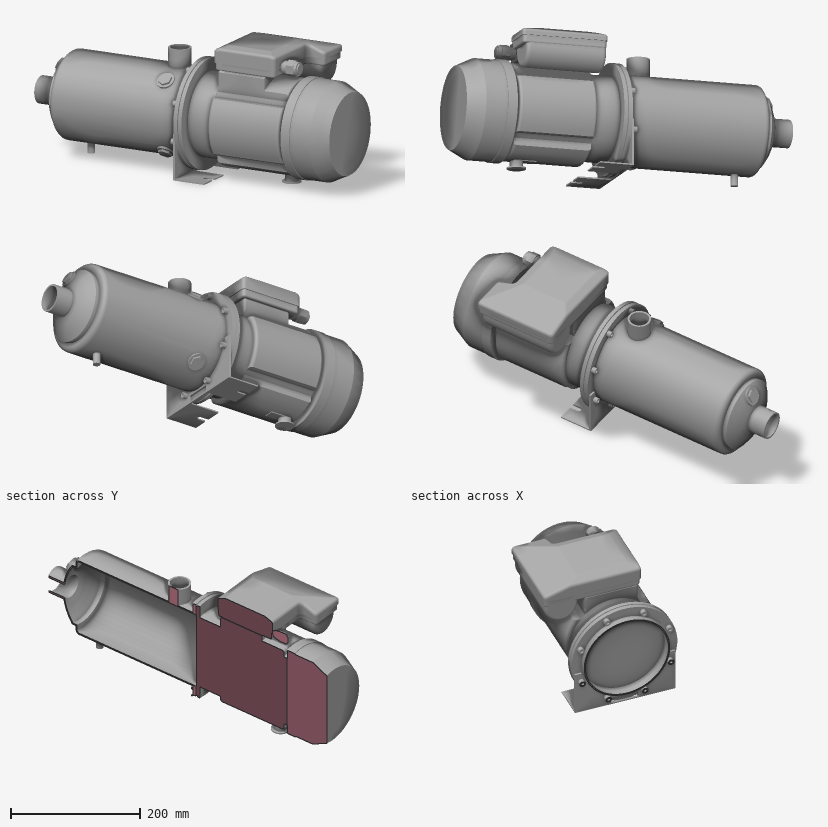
import cadquery as cq
import math

FLOOR_Z = -89.5

CASING_RADIUS = 71.5
WALL = 3.0
CASING_FACE_X = 53.5
CASING_EDGE_ROUND = 7.0
DOME_RIM_X = 46.5
DOME_RIM_RADIUS = 58.0
DOME_RADIUS = 96.0
DOME_CENTRE_X = DOME_RIM_X + math.sqrt(DOME_RADIUS**2 - DOME_RIM_RADIUS**2)
INLET_DIAMETER = 44.5

FLANGE_DIAMETER = 176.5
FLANGE_RADIUS = FLANGE_DIAMETER / 2
FLANGE_FACE_X = 283.5
JOINT_X = 290.0
FLANGE_END_X = 297.5
SPIGOT_RADIUS = 86.0
SPIGOT_LENGTH = 1.5

PORT_X = 245.5
OUTLET_DIAMETER = 36.0
OUTLET_BORE = 30.0
OUTLET_TOP_Z = 100.0
DRAIN_PIN_DIAMETER = 12.0
DRAIN_PIN_X = 88.5
PLUG_COLLAR_DIAMETER = 28.5
PLUG_COLLAR_HEIGHT = 2.0
PLUG_HEX_ACROSS_CORNERS = 22.5
PLUG_HEIGHT = 6.0
SIDE_PLUG_ANGLE = 51.5
DOME_PLUG_ANGLE = 27.0

BOLT_COUNT = 8
BOLT_CIRCLE_RADIUS = 80.0
BOLT_HEAD_DIAMETER = 10.0
BOLT_HEAD_LENGTH = 7.0
BOLT_SHANK_DIAMETER = 7.0
SOCKET_ACROSS_CORNERS = 5.5
SOCKET_DEPTH = 3.0

BRACKET_THICKNESS = 3.5
BRACKET_FACE_X = FLANGE_FACE_X - BRACKET_THICKNESS
BRACKET_HALF_WIDTH = 83.5
BRACKET_TOP_Z = -15.5
BRACKET_BORE_RADIUS = 74.5
FOOT_END_X = 335.5
FOOT_THICKNESS = 2.0
WINDOW_HALF_WIDTH = 22.5
WINDOW_TOP_Z = -77.0
SLOT_WIDTH = 9.0
SLOT_Y = 54.0
SLOT_LENGTH = 17.5

BELL_RADIUS = 68.0
BARREL_START_X = 337.0
BARREL_END_X = 463.5
BARREL_RADIUS = 76.5
BARREL_EDGE_ROUND = 5.0
RIB_HALF_WIDTH = 44.5
NOTCH_SLOPE = 6.5
END_RING_RADIUS = 65.5
FAN_COVER_X = 469.0
PEDESTAL_END_X = 420.0
PEDESTAL_CORNER_ROUND = 4.0
PEDESTAL_CHAMFER = 3.5
FOOT_PAD_START_X = 414.0
FOOT_PAD_END_X = 450.0
FOOT_PAD_WIDTH = 16.5
FOOT_PAD_Z = -77.5

FOOT_X = 444.0
STUD_DIAMETER = 21.0
FOOT_DISC_DIAMETER = 30.0
FOOT_DISC_THICKNESS = 2.0

COVER_RIM_END_X = 484.0
COVER_RIM_DIAMETER = 161.5
COVER_RIM_RADIUS = COVER_RIM_DIAMETER / 2
COVER_CONE_X = 520.0
COVER_RADIUS = 79.5
COVER_END_X = 547.0
COVER_END_DIAMETER = 132.0
COVER_END_RADIUS = COVER_END_DIAMETER / 2

BOX_START_X = 332.0
BOX_NOTCH_X = 440.5
BOX_END_X = 471.5
BOX_FRONT_Y = -48.5
BOX_NOTCH_Y = 54.0
OVERALL_WIDTH = 202.5
BOX_BACK_Y = OVERALL_WIDTH - FLANGE_RADIUS
BOX_BOTTOM_Z = 85.5
LID_BOTTOM_Z = 97.5
LID_FLAT_FRONT_Y = -31.0
LID_FLAT_BACK_Y = 54.0
LID_FLAT_START_X = 347.0
LID_FLAT_END_X = 424.5
LID_FRONT_Z = 120.5
LID_BACK_Z = 106.5
LID_START_Z = 117.5
LID_END_Z = 107.0
BOX_TOP_Z = 124.0
BOX_CORNER_ROUND = 5.5
LID_EDGE_ROUND = 5.0
LID_RIDGE_ROUND = 8.0
TRAY_INSET = 1.5
TRAY_EDGE_ROUND = 3.0
BULGE_RADIUS = 27.5
BULGE_Y = 84.0
BULGE_AXIS_Z = 80.0
BULGE_END_X = 464.0
BULGE_EDGE_ROUND = 6.0

GLAND_Y = -21.5
GLAND_Z = 98.5
GLAND_NECK_END_X = 444.0
GLAND_NECK_DIAMETER = 17.0
GLAND_COLLAR_END_X = 451.0
GLAND_COLLAR_DIAMETER = 21.0
GLAND_HEX_END_X = 464.0
GLAND_HEX_ACROSS_CORNERS = 26.0
GLAND_SHOULDER_END_X = 469.0
GLAND_SHOULDER_DIAMETER = 22.5
GLAND_TIP_END_X = 471.0
GLAND_TIP_DIAMETER = 17.0

UPWARD = 0.5


def x_cylinder(radius, x_start, x_end, y=0.0, z=0.0):
    """Cylinder along X between two positions."""
    return cq.Workplane("YZ", origin=(x_start, y, z)).circle(radius).extrude(x_end - x_start)


def x_hexagon(across_corners, x_start, x_end, y=0.0, z=0.0):
    """Hexagonal bar along X with two corners straight above and below its axis."""
    bar = cq.Workplane("YZ", origin=(x_start, y, z)).transformed(rotate=(0, 0, 90))
    return bar.polygon(6, across_corners).extrude(x_end - x_start)


def box_between(x_range, y_range, z_range):
    """Rectangular block given by its limits on each axis."""
    limits = (x_range, y_range, z_range)
    sizes = [high - low for low, high in limits]
    return cq.Workplane("XY").box(*sizes, centered=False).translate([low for low, high in limits])



def dome_x(radius, inset):
    """X position of the dome surface, moved inwards by inset, at a radius from the shaft axis."""
    return DOME_CENTRE_X - math.sqrt((DOME_RADIUS - inset) ** 2 - radius**2)


def casing_revolve(inset, start_x, end_x):
    """Body of revolution bounded by the casing surface moved inwards by inset."""
    inlet = INLET_DIAMETER / 2 - inset
    rim = DOME_RIM_RADIUS - inset
    middle = (inlet + rim) / 2
    outer = CASING_RADIUS - inset
    face_x = CASING_FACE_X + inset
    edge = CASING_EDGE_ROUND - inset
    bend = edge * (1 - math.sqrt(0.5))
    profile = (
        cq.Workplane("XY")
        .moveTo(start_x, 0)
        .lineTo(start_x, inlet)
        .lineTo(dome_x(inlet, inset), inlet)
        .threePointArc((dome_x(middle, inset), middle), (dome_x(rim, inset), rim))
        .lineTo(face_x, rim)
        .lineTo(face_x, outer - edge)
        .threePointArc((face_x + bend, outer - bend), (face_x + edge, outer))
        .lineTo(end_x, outer)
        .lineTo(end_x, 0)
        .close()
    )
    return profile.revolve(360, (0, 0, 0), (1, 0, 0))


def plug(centre, heading, elevation, base_radius, surface_radius):
    """Hexagon plug with a round collar, pointing away from a centre point.

    heading is the horizontal unit direction of the plug axis and elevation its angle in degrees
    above the horizontal. The plug runs outwards from base_radius and stands on surface_radius.
    """
    level = math.cos(math.radians(elevation))
    rise = math.sin(math.radians(elevation))
    outward = cq.Vector(heading[0] * level, heading[1] * level, rise)
    upward = cq.Vector(-heading[0] * rise, -heading[1] * rise, level)
    plane = cq.Plane(origin=cq.Vector(*centre) + outward * base_radius, xDir=upward, normal=outward)
    buried = surface_radius - base_radius
    collar = cq.Workplane(plane).circle(PLUG_COLLAR_DIAMETER / 2).extrude(buried + PLUG_COLLAR_HEIGHT)
    head = cq.Workplane(plane).polygon(6, PLUG_HEX_ACROSS_CORNERS).extrude(buried + PLUG_HEIGHT)
    return collar.union(head)


def casing_plugs():
    """Two plugs on the front of the cylinder beside the delivery pipe and one on the dome."""
    port_centre = (PORT_X, 0, 0)
    dome_centre = (DOME_CENTRE_X, 0, 0)
    front = (0, -1)
    dome_sheet = DOME_RADIUS - WALL
    return [
        plug(port_centre, front, SIDE_PLUG_ANGLE, 0, CASING_RADIUS),
        plug(port_centre, front, -SIDE_PLUG_ANGLE, 0, CASING_RADIUS),
        plug(dome_centre, (-1, 0), DOME_PLUG_ANGLE, dome_sheet, DOME_RADIUS),
    ]


def bolt_places():
    """Y, Z of each flange bolt and whether it also holds the bracket."""
    step = 2 * math.pi / BOLT_COUNT
    for number in range(BOLT_COUNT):
        angle = (number + 0.5) * step
        y = BOLT_CIRCLE_RADIUS * math.cos(angle)
        z = BOLT_CIRCLE_RADIUS * math.sin(angle)
        yield y, z, z < BRACKET_TOP_Z


def flange_bolt(y, z, seat_x):
    """Socket-head bolt that runs from its seat into the flange."""
    head_x = seat_x - BOLT_HEAD_LENGTH
    shank = x_cylinder(BOLT_SHANK_DIAMETER / 2, seat_x, JOINT_X, y, z)
    head = x_cylinder(BOLT_HEAD_DIAMETER / 2, head_x, seat_x, y, z)
    socket = x_hexagon(SOCKET_ACROSS_CORNERS, head_x, head_x + SOCKET_DEPTH, y, z)
    return shank.union(head.cut(socket))


def make_casing():
    """Casing shell with flange, suction and delivery pipes, plugs, drain pin and bolts."""
    casing = casing_revolve(0, 0, JOINT_X)
    casing = casing.union(x_cylinder(FLANGE_RADIUS, FLANGE_FACE_X, JOINT_X))
    port_plane = cq.Workplane("XY", origin=(PORT_X, 0, 0))
    casing = casing.union(port_plane.circle(OUTLET_DIAMETER / 2).extrude(OUTLET_TOP_Z))
    drain_pin = cq.Workplane("XY", origin=(DRAIN_PIN_X, 0, 0)).circle(DRAIN_PIN_DIAMETER / 2)
    casing = casing.union(drain_pin.extrude(FLOOR_Z))
    for casing_plug in casing_plugs():
        casing = casing.union(casing_plug)
    casing = casing.cut(casing_revolve(WALL, 0, JOINT_X))
    casing = casing.cut(port_plane.circle(OUTLET_BORE / 2).extrude(OUTLET_TOP_Z))
    for y, z, on_bracket in bolt_places():
        seat_x = BRACKET_FACE_X if on_bracket else FLANGE_FACE_X
        casing = casing.union(flange_bolt(y, z, seat_x))
    return casing



def make_bracket():
    """Upright plate in front of the flange, bent into a foot with two open slots."""
    width = (-BRACKET_HALF_WIDTH, BRACKET_HALF_WIDTH)
    plate = box_between((BRACKET_FACE_X, FLANGE_FACE_X), width, (FLOOR_Z, BRACKET_TOP_Z))
    foot = box_between((BRACKET_FACE_X, FOOT_END_X), width, (FLOOR_Z, FLOOR_Z + FOOT_THICKNESS))
    foot = foot.cut(x_cylinder(FLANGE_RADIUS, FLANGE_FACE_X, FLANGE_END_X))
    bracket = plate.union(foot)
    bracket = bracket.cut(x_cylinder(BRACKET_BORE_RADIUS, BRACKET_FACE_X, FLANGE_FACE_X))
    window = (-WINDOW_HALF_WIDTH, WINDOW_HALF_WIDTH)
    foot_top_z = FLOOR_Z + FOOT_THICKNESS
    bracket = bracket.cut(box_between((BRACKET_FACE_X, FLANGE_FACE_X), window, (foot_top_z, WINDOW_TOP_Z)))
    bracket = bracket.cut(box_between((FLANGE_FACE_X, FOOT_END_X), window, (FLOOR_Z, foot_top_z)))
    for side in (1, -1):
        slot = cq.Workplane("XY", origin=(FOOT_END_X, side * SLOT_Y, FLOOR_Z))
        slot = slot.slot2D(2 * SLOT_LENGTH, SLOT_WIDTH).extrude(FOOT_THICKNESS)
        bracket = bracket.cut(slot)
    for y, z, on_bracket in bolt_places():
        if on_bracket:
            hole = x_cylinder(BOLT_SHANK_DIAMETER / 2, BRACKET_FACE_X, FLANGE_FACE_X, y, z)
            bracket = bracket.cut(hole)
    return bracket



def motor_barrel():
    """Round barrel with rounded ends and an L-shaped notch with a sloped inner corner at each quarter."""
    barrel = x_cylinder(BARREL_RADIUS, BARREL_START_X, BARREL_END_X).edges().fillet(BARREL_EDGE_ROUND)
    slope_end = RIB_HALF_WIDTH + NOTCH_SLOPE
    outline = [
        (RIB_HALF_WIDTH, slope_end),
        (slope_end, RIB_HALF_WIDTH),
        (BARREL_RADIUS, RIB_HALF_WIDTH),
        (BARREL_RADIUS, BARREL_RADIUS),
        (RIB_HALF_WIDTH, BARREL_RADIUS),
    ]
    notch = cq.Workplane("YZ", origin=(BARREL_START_X, 0, 0)).polyline(outline).close()
    notch = notch.extrude(BARREL_END_X - BARREL_START_X)
    for quarter in range(4):
        barrel = barrel.cut(notch.rotate((0, 0, 0), (1, 0, 0), 90 * quarter))
    return barrel


def pedestal():
    """Block on the upper rib of the barrel that carries the terminal box."""
    half_width = (-RIB_HALF_WIDTH, RIB_HALF_WIDTH)
    block = box_between((BARREL_START_X, PEDESTAL_END_X), half_width, (RIB_HALF_WIDTH, BOX_BOTTOM_Z))
    block = block.edges("|Z and <X").fillet(PEDESTAL_CORNER_ROUND)
    return block.faces(">Z").edges("|X").chamfer(PEDESTAL_CHAMFER)


def make_motor():
    """Motor with flange, bell, notched barrel, box pedestal and rear end ring."""
    motor = x_cylinder(SPIGOT_RADIUS, JOINT_X, JOINT_X + SPIGOT_LENGTH)
    motor = motor.union(x_cylinder(FLANGE_RADIUS, JOINT_X + SPIGOT_LENGTH, FLANGE_END_X))
    motor = motor.union(x_cylinder(BELL_RADIUS, JOINT_X, BARREL_START_X))
    motor = motor.union(motor_barrel()).union(pedestal())
    motor = motor.union(x_cylinder(END_RING_RADIUS, BARREL_END_X, FAN_COVER_X))
    pad_half = FOOT_PAD_WIDTH / 2
    pad = box_between((FOOT_PAD_START_X, FOOT_PAD_END_X), (-pad_half, pad_half), (FOOT_PAD_Z, 0))
    return motor.union(pad)


def make_motor_foot():
    """Stud with a wide disc that supports the motor on the floor."""
    stud = cq.Workplane("XY", origin=(FOOT_X, 0, FLOOR_Z)).circle(STUD_DIAMETER / 2)
    stud = stud.extrude(FOOT_PAD_Z - FLOOR_Z)
    disc = cq.Workplane("XY", origin=(FOOT_X, 0, FLOOR_Z)).circle(FOOT_DISC_DIAMETER / 2)
    return stud.union(disc.extrude(FOOT_DISC_THICKNESS))


def make_fan_cover():
    """Rimmed cover behind the motor that tapers to a flat end."""
    profile = [
        (FAN_COVER_X, 0),
        (FAN_COVER_X, COVER_RIM_RADIUS),
        (COVER_RIM_END_X, COVER_RIM_RADIUS),
        (COVER_RIM_END_X, COVER_RADIUS),
        (COVER_CONE_X, COVER_RADIUS),
        (COVER_END_X, COVER_END_RADIUS),
        (COVER_END_X, 0),
    ]
    return cq.Workplane("XY").polyline(profile).close().revolve(360, (0, 0, 0), (1, 0, 0))



def box_prism(inset, z_low, z_high):
    """L-shaped prism with rounded corners: the box outline moved inwards by inset."""
    x_start = BOX_START_X + inset
    x_notch = BOX_NOTCH_X - inset
    x_end = BOX_END_X - inset
    y_front = BOX_FRONT_Y + inset
    y_notch = BOX_NOTCH_Y + inset
    y_back = BOX_BACK_Y - inset
    outline = [
        (x_start, y_front),
        (x_notch, y_front),
        (x_notch, y_notch),
        (x_end, y_notch),
        (x_end, y_back),
        (x_start, y_back),
    ]
    prism = cq.Workplane("XY", origin=(0, 0, z_low)).polyline(outline).close().extrude(z_high - z_low)
    return prism.edges("|Z").fillet(BOX_CORNER_ROUND)


def lid_top_edges(body):
    """Each edge of the lid's top faces with the upward lean of the steepest face beside it."""
    faces = [(face, face.Edges()) for face in body.faces().vals()]
    for edge in body.edges().vals():
        middle = edge.Center()
        leans = [face.normalAt(middle).z for face, sides in faces if any(map(edge.isSame, sides))]
        if max(leans) > UPWARD:
            yield edge, min(leans)


def lid():
    """Lid whose flat top falls away with a different slope to each side."""
    side_profile = [
        (BOX_FRONT_Y, LID_BOTTOM_Z),
        (BOX_FRONT_Y, LID_FRONT_Z),
        (LID_FLAT_FRONT_Y, BOX_TOP_Z),
        (LID_FLAT_BACK_Y, BOX_TOP_Z),
        (BOX_BACK_Y, LID_BACK_Z),
        (BOX_BACK_Y, LID_BOTTOM_Z),
    ]
    front_profile = [
        (BOX_START_X, LID_BOTTOM_Z),
        (BOX_START_X, LID_START_Z),
        (LID_FLAT_START_X, BOX_TOP_Z),
        (LID_FLAT_END_X, BOX_TOP_Z),
        (BOX_END_X, LID_END_Z),
        (BOX_END_X, LID_BOTTOM_Z),
    ]
    along_x = cq.Workplane("YZ").polyline(side_profile).close().extrude(BOX_END_X)
    along_y = cq.Workplane("XZ").polyline(front_profile).close().extrude(BOX_BACK_Y, both=True)
    body = box_prism(0, LID_BOTTOM_Z, BOX_TOP_Z).intersect(along_x).intersect(along_y)
    ridges = [edge for edge, steepest in lid_top_edges(body) if steepest > UPWARD]
    body = body.newObject(ridges).fillet(LID_RIDGE_ROUND)
    rim = [edge for edge, steepest in lid_top_edges(body) if steepest <= UPWARD]
    return body.newObject(rim).fillet(LID_EDGE_ROUND)


def make_terminal_box():
    """Lid, tray and the rounded capacitor bulge that hangs beside the motor."""
    tray = box_prism(TRAY_INSET, BOX_BOTTOM_Z, LID_BOTTOM_Z).faces("<Z").edges().fillet(TRAY_EDGE_ROUND)
    x_start = BOX_START_X + TRAY_INSET
    bulge = cq.Workplane("YZ", origin=(x_start, BULGE_Y, LID_BOTTOM_Z))
    depth = BULGE_AXIS_Z - LID_BOTTOM_Z
    bulge = (
        bulge.moveTo(-BULGE_RADIUS, 0)
        .lineTo(-BULGE_RADIUS, depth)
        .threePointArc((0, depth - BULGE_RADIUS), (BULGE_RADIUS, depth))
        .lineTo(BULGE_RADIUS, 0)
        .close()
        .extrude(BULGE_END_X - x_start)
    )
    ends = bulge.faces("<X or >X").edges("not |Y")
    bulge = bulge.newObject(ends.vals()).fillet(BULGE_EDGE_ROUND)
    return lid().union(tray).union(bulge)


def make_cable_gland():
    """Stepped gland with a hexagon nut on the notched end of the terminal box."""
    gland = x_hexagon(GLAND_HEX_ACROSS_CORNERS, GLAND_COLLAR_END_X, GLAND_HEX_END_X, GLAND_Y, GLAND_Z)
    round_steps = [
        (GLAND_NECK_DIAMETER, BOX_NOTCH_X, GLAND_NECK_END_X),
        (GLAND_COLLAR_DIAMETER, GLAND_NECK_END_X, GLAND_COLLAR_END_X),
        (GLAND_SHOULDER_DIAMETER, GLAND_HEX_END_X, GLAND_SHOULDER_END_X),
        (GLAND_TIP_DIAMETER, GLAND_SHOULDER_END_X, GLAND_TIP_END_X),
    ]
    for diameter, x_start, x_end in round_steps:
        gland = gland.union(x_cylinder(diameter / 2, x_start, x_end, GLAND_Y, GLAND_Z))
    return gland


casing = make_casing()
bracket = make_bracket()
motor = make_motor()
motor_foot = make_motor_foot()
fan_cover = make_fan_cover()
terminal_box = make_terminal_box()
cable_gland = make_cable_gland()

result = cq.Compound.makeCompound(
    [
        casing.val(),
        bracket.val(),
        motor.val(),
        motor_foot.val(),
        fan_cover.val(),
        terminal_box.val(),
        cable_gland.val(),
    ]
)